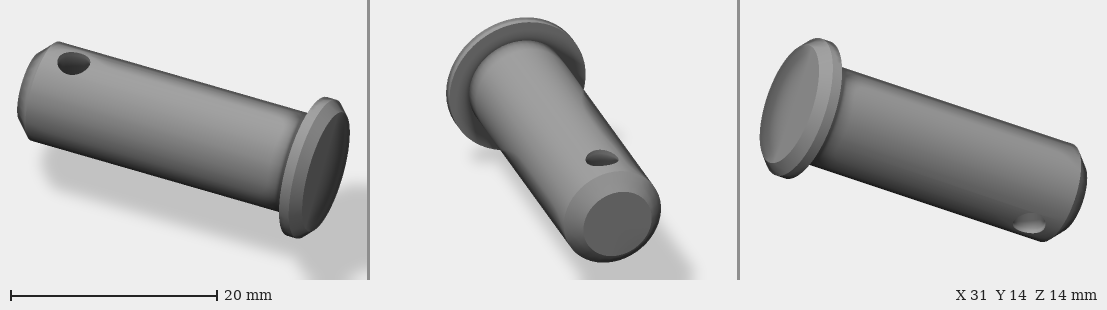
import cadquery as cq

total_length = 31.0
shank_diameter = 10.0
tip_chamfer = 1.5
head_diameter = 14.0
head_thickness = 2.0
head_chamfer = 1.0
hole_diameter = 3.2
hole_from_tip = 4.5

tip_x = -total_length / 2
head_x = total_length / 2 - head_thickness


def make_shank():
    """Round shank with a chamfered tip, ending at the underside of the head."""
    shank = (
        cq.Workplane("YZ", origin=(tip_x, 0, 0))
        .circle(shank_diameter / 2)
        .extrude(total_length - head_thickness)
    )
    return shank.faces("<X").chamfer(tip_chamfer)


def make_head():
    """Flat round head with a chamfer on its outer end."""
    head = (
        cq.Workplane("YZ", origin=(head_x, 0, 0))
        .circle(head_diameter / 2)
        .extrude(head_thickness)
    )
    return head.faces(">X").chamfer(head_chamfer)


def make_cross_hole():
    """Cutter for the cotter hole, passing vertically through the shank."""
    return (
        cq.Workplane("XY")
        .center(tip_x + hole_from_tip, 0)
        .circle(hole_diameter / 2)
        .extrude(shank_diameter, both=True)
    )


result = make_shank().union(make_head()).cut(make_cross_hole())